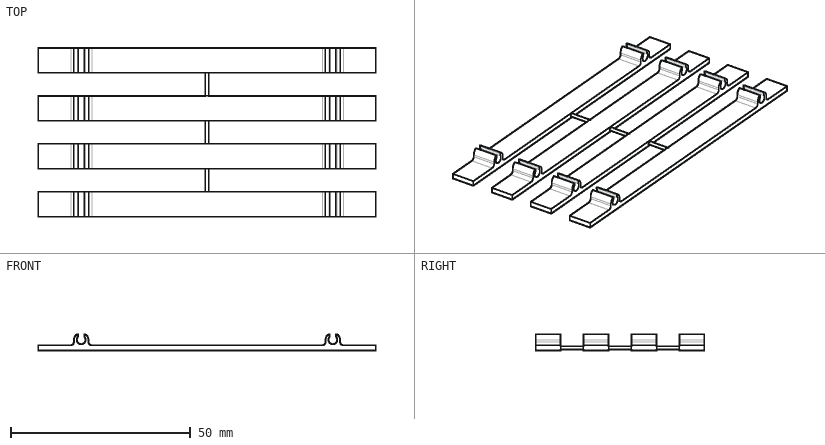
import cadquery as cq
import math

slat_length = 94.0
slat_width = 7.0
slat_thickness = 1.5
slat_count = 4
overall_depth = 47.0
slat_pitch = (overall_depth - slat_width) / (slat_count - 1)

clip_spacing = 70.0
clip_top = 4.6
clip_center_height = 3.0
clip_half_width = 2.05
clip_bore_radius = 1.2
clip_mouth_half_width = 0.8
clip_tip_radius = 0.2
clip_root_fillet = 0.9
fillet_middle_angle = 225.0

tip_x = clip_mouth_half_width + clip_tip_radius
tip_z = clip_top - clip_tip_radius
tip_rise = tip_z - clip_center_height

back_radius = ((clip_half_width - tip_x) ** 2 + tip_rise**2 - clip_tip_radius**2) / (
    2 * (clip_half_width - tip_x - clip_tip_radius)
)
back_x = clip_half_width - back_radius

lip_radius = (clip_mouth_half_width**2 + tip_rise**2 - clip_bore_radius**2) / (
    2 * (clip_bore_radius - clip_mouth_half_width)
)
lip_x = clip_mouth_half_width + lip_radius

rod_diameter = 1.0
rod_height = slat_thickness / 2
rod_length = overall_depth - 2 * slat_width


def polar_point(center_x, center_z, radius, angle):
    """Point on a circle in the XZ plane, with the angle measured from +X toward +Z."""
    return center_x + radius * math.cos(angle), center_z + radius * math.sin(angle)


def jaw_points():
    """Points of the right jaw, relative to the clip center line, from the bore out to the slat top."""
    back_angle = math.atan2(tip_rise, tip_x - back_x)
    lip_angle = math.atan2(tip_rise, lip_x)
    fillet_x = clip_half_width + clip_root_fillet
    fillet_z = slat_thickness + clip_root_fillet
    return {
        "bore_end": polar_point(0, clip_center_height, clip_bore_radius, lip_angle),
        "lip_middle": polar_point(lip_x, tip_z, lip_radius, math.pi + lip_angle / 2),
        "lip_end": (clip_mouth_half_width, tip_z),
        "tip_top": (tip_x, clip_top),
        "tip_end": polar_point(tip_x, tip_z, clip_tip_radius, back_angle),
        "back_middle": polar_point(back_x, clip_center_height, back_radius, back_angle / 2),
        "back_end": (clip_half_width, clip_center_height),
        "fillet_start": (clip_half_width, fillet_z),
        "fillet_middle": polar_point(fillet_x, fillet_z, clip_root_fillet, math.radians(fillet_middle_angle)),
        "fillet_end": (fillet_x, slat_thickness),
    }


def trace_clip(outline, clip_x):
    """Continue an XZ outline over a clip centered at clip_x, from its left root to its right root."""
    jaw = jaw_points()

    def left(name):
        x, z = jaw[name]
        return clip_x - x, z

    def right(name):
        x, z = jaw[name]
        return clip_x + x, z

    bore_bottom = (clip_x, clip_center_height - clip_bore_radius)
    return (
        outline.lineTo(*left("fillet_end"))
        .threePointArc(left("fillet_middle"), left("fillet_start"))
        .lineTo(*left("back_end"))
        .threePointArc(left("back_middle"), left("tip_end"))
        .threePointArc(left("tip_top"), left("lip_end"))
        .threePointArc(left("lip_middle"), left("bore_end"))
        .threePointArc(bore_bottom, right("bore_end"))
        .threePointArc(right("lip_middle"), right("lip_end"))
        .threePointArc(right("tip_top"), right("tip_end"))
        .threePointArc(right("back_middle"), right("back_end"))
        .lineTo(*right("fillet_start"))
        .threePointArc(right("fillet_middle"), right("fillet_end"))
    )


def make_slat(y_center):
    """Slat and its two clips, extruded as one profile."""
    half_length = slat_length / 2
    outline = cq.Workplane("XZ").moveTo(-half_length, 0).lineTo(-half_length, slat_thickness)
    for clip_x in (-clip_spacing / 2, clip_spacing / 2):
        outline = trace_clip(outline, clip_x)
    outline = outline.lineTo(half_length, slat_thickness).lineTo(half_length, 0).close()
    return outline.extrude(slat_width).translate((0, y_center + slat_width / 2, 0))


def make_rod():
    """Rod between the inner faces of the two outermost slats."""
    rod_start = cq.Workplane("XZ", origin=(0, rod_length / 2, rod_height))
    return rod_start.circle(rod_diameter / 2).extrude(rod_length)


rod = make_rod()

slats = []
for index in range(slat_count):
    y_center = (index - (slat_count - 1) / 2) * slat_pitch
    slats.append(make_slat(y_center).cut(rod))

result = cq.Compound.makeCompound([*[slat.val() for slat in slats], rod.val()])